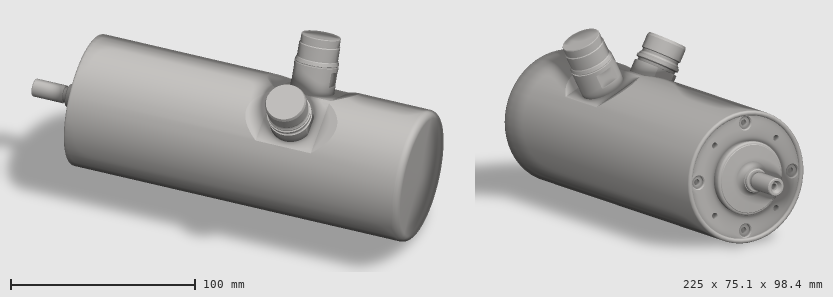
import cadquery as cq
import math


HOUSING_RADIUS = 73.1 / 2
LIP_RADIUS = 1.4
REAR_FILLET_X = 189.7
REAR_EDGE_X = 193.5
REAR_APEX_X = 194.5
REAR_FACE_RADIUS = 32.8

FLANGE_FACE_X = LIP_RADIUS
PILOT_RADIUS = 40.7 / 2
RELIEF_RADIUS = 39.8 / 2
PILOT_BACK_X = -2.2
PILOT_FACE_X = -4.3
PILOT_FILLET = 1.4
PILOT_BEVEL = 0.34
CONE_FOOT_RADIUS = 19.5 / 2
CONE_FOOT_X = -5.2

COLLAR_RADIUS = 13.5 / 2
COLLAR_ROUND_X = -7.6
COLLAR_X = -8.8
SEAL_RADIUS = 12.8 / 2
SEAL_FACE_RADIUS = 12.0 / 2
SEAL_X = -10.8
NECK_RADIUS = 8.5 / 2
NECK_X = -12.8
SHAFT_RADIUS = 10.0 / 2
SHAFT_TIP_X = -30.5
SHAFT_CHAMFER = 0.5

CENTER_HOLE_DIAMETER = 3.4
CENTER_SINK_DIAMETER = 7.0
CENTER_SINK_FLOOR_DIAMETER = 4.5
CENTER_SINK_DEPTH = 2.2
CENTER_HOLE_DEPTH = 6.8
TAPPED_HOLE_DIAMETER = 3.4
TAPPED_HOLE_DEPTH = 6.8
TAPPED_HOLE_CIRCLE_RADIUS = 27.5
DRILL_TIP_ANGLE = 118.0
SCREW_CIRCLE_RADIUS = 29.7
SCREW_HEAD_DIAMETER = 7.0
SCREW_RECESS_DIAMETER = 8.0
SCREW_RECESS_DEPTH = 1.8
SCREW_SOCKET_DIAMETER = 3.4
SCREW_SOCKET_DEPTH = 1.8

CONNECTOR_X = 124.5
CONNECTOR_TILT = 27.0
PAD_HALF_ANGLE = 25.2
PAD_HEIGHT = HOUSING_RADIUS * math.cos(math.radians(PAD_HALF_ANGLE))
PAD_LENGTH = 32.0
PAD_CUT_LENGTH = 51.8
PAD_CUT_WIDTH = 45.0

BASE_RADIUS = 24.3 / 2
CAP_RADIUS = 22.5 / 2
TIP_RADIUS = 21.5 / 2
TIP_FACE_RADIUS = 21.2 / 2
FLAT_DISTANCE = 21.5 / 2
LONG_FLAT_BOTTOM = 37.5
LONG_FLAT_TOP = 46.0
SHORT_FLAT_TOP = 40.7


def turned_x(points):
    """Solid turned about X from (x, radius) points whose first and last lie on the axis."""
    return cq.Workplane("XY").polyline(points).close().revolve(360, (0, 0, 0), (1, 0, 0))


def drilled_hole(diameter, depth):
    """Cutter for a blind hole along +X with a conical drill tip, starting at the origin."""
    radius = diameter / 2
    tip = radius / math.tan(math.radians(DRILL_TIP_ANGLE / 2))
    return turned_x([(0, 0), (0, radius), (depth, radius), (depth + tip, 0)])


def circle_places(radius, start_angle):
    """Four (y, z) places, equally spaced around the motor axis."""
    angles = [math.radians(start_angle + 90 * i) for i in range(4)]
    return [(radius * math.cos(a), radius * math.sin(a)) for a in angles]


def motor_blank():
    """Shaft, seal collar, pilot boss and housing, turned about X."""
    diagonal = math.sqrt(0.5)
    round_x = CONE_FOOT_X - COLLAR_ROUND_X
    round_r = CONE_FOOT_RADIUS - COLLAR_RADIUS
    collar_round_middle = (COLLAR_ROUND_X + round_x * diagonal, CONE_FOOT_RADIUS - round_r * diagonal)
    pilot_face_radius = PILOT_RADIUS - PILOT_FILLET
    pilot_round_x = PILOT_FACE_X + PILOT_FILLET
    pilot_round_middle = (
        pilot_round_x - PILOT_FILLET * diagonal,
        PILOT_RADIUS - PILOT_FILLET * (1 - diagonal),
    )
    lip_center_radius = HOUSING_RADIUS - LIP_RADIUS
    rear_round_middle = (
        REAR_FILLET_X + (REAR_EDGE_X - REAR_FILLET_X) * diagonal,
        REAR_FACE_RADIUS + (HOUSING_RADIUS - REAR_FACE_RADIUS) * diagonal,
    )
    return (
        cq.Workplane("XY")
        .moveTo(SHAFT_TIP_X, 0)
        .lineTo(SHAFT_TIP_X, SHAFT_RADIUS - SHAFT_CHAMFER)
        .lineTo(SHAFT_TIP_X + SHAFT_CHAMFER, SHAFT_RADIUS)
        .lineTo(NECK_X, SHAFT_RADIUS)
        .lineTo(NECK_X, NECK_RADIUS)
        .lineTo(SEAL_X, NECK_RADIUS)
        .lineTo(SEAL_X, SEAL_FACE_RADIUS)
        .lineTo(SEAL_X + SEAL_RADIUS - SEAL_FACE_RADIUS, SEAL_RADIUS)
        .lineTo(COLLAR_X, SEAL_RADIUS)
        .lineTo(COLLAR_X, COLLAR_RADIUS)
        .lineTo(COLLAR_ROUND_X, COLLAR_RADIUS)
        .threePointArc(collar_round_middle, (CONE_FOOT_X, CONE_FOOT_RADIUS))
        .lineTo(PILOT_FACE_X - PILOT_BEVEL, pilot_face_radius - PILOT_BEVEL)
        .lineTo(PILOT_FACE_X, pilot_face_radius)
        .threePointArc(pilot_round_middle, (pilot_round_x, PILOT_RADIUS))
        .lineTo(PILOT_BACK_X, PILOT_RADIUS)
        .lineTo(PILOT_BACK_X, RELIEF_RADIUS)
        .lineTo(FLANGE_FACE_X, RELIEF_RADIUS)
        .lineTo(FLANGE_FACE_X, lip_center_radius - LIP_RADIUS)
        .threePointArc((0, lip_center_radius), (LIP_RADIUS, HOUSING_RADIUS))
        .lineTo(REAR_FILLET_X, HOUSING_RADIUS)
        .threePointArc(rear_round_middle, (REAR_EDGE_X, REAR_FACE_RADIUS))
        .lineTo(REAR_APEX_X, 0)
        .close()
        .revolve(360, (0, 0, 0), (1, 0, 0))
    )


def tilt(body, side):
    """Lean an upright body towards +Y (side 1) or -Y (side -1)."""
    return body.rotate((0, 0, 0), (1, 0, 0), -side * CONNECTOR_TILT)


def pad_cutter():
    """Upright cutter that leaves a flat pad with two sloping ends."""
    crown_rise = HOUSING_RADIUS - PAD_HEIGHT
    cut_rise = 2 * crown_rise
    slope_run = (PAD_CUT_LENGTH - PAD_LENGTH) / 2 / crown_rise
    bottom = PAD_LENGTH / 2
    top = bottom + slope_run * cut_rise
    return (
        cq.Workplane("XZ")
        .polyline([(-bottom, 0), (bottom, 0), (top, cut_rise), (-top, cut_rise)])
        .close()
        .extrude(PAD_CUT_WIDTH / 2, both=True)
        .translate((CONNECTOR_X, 0, PAD_HEIGHT))
    )


def screw_cutter():
    """Recess above a sunken screw head, with the socket in the head, starting at the origin."""
    mouth_radius = SCREW_RECESS_DIAMETER / 2
    head_radius = SCREW_HEAD_DIAMETER / 2
    socket_radius = SCREW_SOCKET_DIAMETER / 2
    socket_floor = SCREW_RECESS_DEPTH + SCREW_SOCKET_DEPTH
    return turned_x([
        (0, 0),
        (0, mouth_radius),
        (mouth_radius - head_radius, head_radius),
        (SCREW_RECESS_DEPTH, head_radius),
        (SCREW_RECESS_DEPTH, socket_radius),
        (socket_floor, socket_radius),
        (socket_floor, 0),
    ])


def center_hole_cutter():
    """Countersunk center hole in the shaft end, starting at the origin."""
    sink = turned_x([
        (0, 0),
        (0, CENTER_SINK_DIAMETER / 2),
        (CENTER_SINK_DEPTH, CENTER_SINK_FLOOR_DIAMETER / 2),
        (CENTER_SINK_DEPTH, 0),
    ])
    return sink.union(drilled_hole(CENTER_HOLE_DIAMETER, CENTER_HOLE_DEPTH))


def make_motor():
    motor = motor_blank()
    for side in (1, -1):
        motor = motor.cut(tilt(pad_cutter(), side))
    for y, z in circle_places(SCREW_CIRCLE_RADIUS, 0):
        motor = motor.cut(screw_cutter().translate((FLANGE_FACE_X, y, z)))
    tapped_hole = drilled_hole(TAPPED_HOLE_DIAMETER, TAPPED_HOLE_DEPTH)
    for y, z in circle_places(TAPPED_HOLE_CIRCLE_RADIUS, 45):
        motor = motor.cut(tapped_hole.translate((FLANGE_FACE_X, y, z)))
    return motor.cut(center_hole_cutter().translate((SHAFT_TIP_X, 0, 0)))


def turned_connector(profile):
    """Upright connector turned from (radius, height) points between its pad and its tip."""
    return (
        cq.Workplane("XZ")
        .polyline([(0, PAD_HEIGHT)] + profile + [(0, profile[-1][1])])
        .close()
        .revolve(360, (0, 0, 0), (0, 1, 0))
        .translate((CONNECTOR_X, 0, 0))
    )


def cut_flats(connector, bottom, top):
    """Cut two opposite spanner flats, facing -X and +X, between two heights."""
    thickness = BASE_RADIUS
    height = top - bottom
    for side in (1, -1):
        cutter = cq.Workplane("XY").box(thickness, 2 * BASE_RADIUS, height)
        x = CONNECTOR_X + side * (FLAT_DISTANCE + thickness / 2)
        connector = connector.cut(cutter.translate((x, 0, bottom + height / 2)))
    return connector


def make_long_connector():
    """Connector towards +Y: grooved base, cap and narrower tip."""
    groove_radius = 23.0 / 2
    ring_top_radius = 23.2 / 2
    profile = [
        (BASE_RADIUS, PAD_HEIGHT),
        (BASE_RADIUS, 48.2),
        (groove_radius, 48.4),
        (groove_radius, 48.8),
        (BASE_RADIUS, 49.0),
        (ring_top_radius, 50.8),
        (CAP_RADIUS, 51.3),
        (CAP_RADIUS, 58.7),
        (TIP_RADIUS, 59.2),
        (TIP_RADIUS, 63.5),
        (TIP_FACE_RADIUS, 64.0),
    ]
    return tilt(cut_flats(turned_connector(profile), LONG_FLAT_BOTTOM, LONG_FLAT_TOP), 1)


def make_short_connector():
    """Connector towards -Y: base, ring and chamfered cap with grooves between."""
    lower_groove_radius = 21.5 / 2
    step_radius = 23.0 / 2
    upper_groove_radius = 21.0 / 2
    profile = [
        (BASE_RADIUS, PAD_HEIGHT),
        (BASE_RADIUS, SHORT_FLAT_TOP),
        (lower_groove_radius, 41.0),
        (lower_groove_radius, 42.3),
        (BASE_RADIUS, 43.0),
        (BASE_RADIUS, 44.5),
        (step_radius, 44.8),
        (step_radius, 45.5),
        (upper_groove_radius, 46.5),
        (upper_groove_radius, 48.0),
        (CAP_RADIUS, 48.4),
        (CAP_RADIUS, 55.5),
        (TIP_RADIUS, 56.7),
        (TIP_FACE_RADIUS, 57.2),
    ]
    return tilt(cut_flats(turned_connector(profile), PAD_HEIGHT, SHORT_FLAT_TOP), -1)


motor = make_motor()
long_connector = make_long_connector()
short_connector = make_short_connector()

result = cq.Compound.makeCompound([motor.val(), long_connector.val(), short_connector.val()])